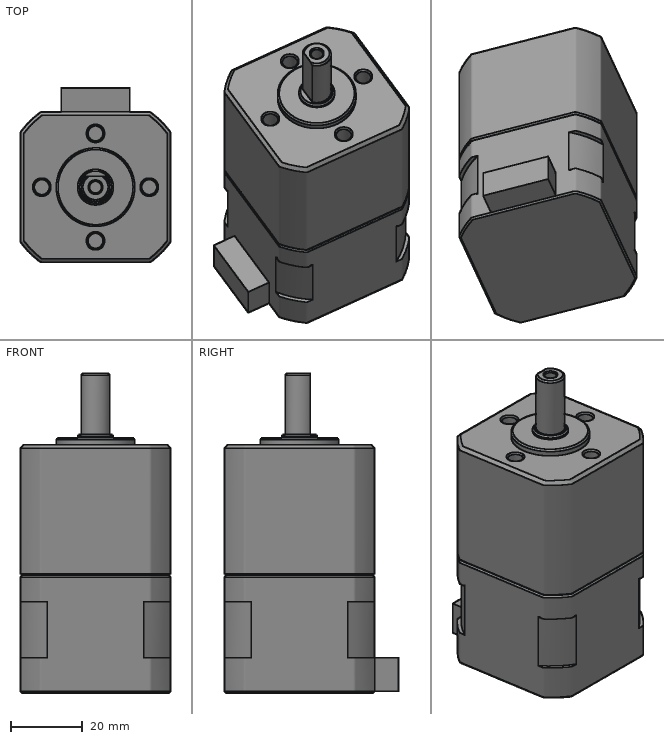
import cadquery as cq

FLANGE_WIDTH = 42.0
CAP_CORNER_RADIUS = 26.0
STATOR_CORNER_RADIUS = 24.9
EDGE_FILLET = 1.1
SMALL_CHAMFER = 0.5

REAR_CAP_TOP = 9.9
STATOR_TOP = 25.5
MOTOR_TOP = 32.9
GEARBOX_TOP = 69.4
PILOT_TOP = 71.3
COLLAR_TOP = 72.2
SHAFT_TOP = 89.3

CONNECTOR_WIDTH = 19.2
CONNECTOR_REACH = 6.7

FACE_CHAMFER = 1.0
PILOT_DIAMETER = 22.0
MOUNT_HOLE_DIAMETER = 4.2
MOUNT_HOLE_DEPTH = 10.0
MOUNT_HOLE_CHAMFER = 0.45
MOUNT_CIRCLE_RADIUS = 15.0
MOUNT_HOLE_COUNT = 4

SHAFT_DIAMETER = 8.0
COLLAR_DIAMETER = 10.0
FLAT_OFFSET = 3.0
CENTRE_HOLE_DIAMETER = 3.3
CENTRE_HOLE_DEPTH = 10.0
CENTRE_HOLE_CHAMFER = 0.4


def turned_square(bottom, top, corner_radius):
    """Square block whose four corners are turned down to a radius about the axis."""
    height = top - bottom
    square = cq.Workplane("XY").workplane(offset=bottom).rect(FLANGE_WIDTH, FLANGE_WIDTH).extrude(height)
    cylinder = cq.Workplane("XY").workplane(offset=bottom).circle(corner_radius).extrude(height)
    return square.intersect(cylinder)


def cap_block(bottom, top):
    """Turned square with the edges between its flats and corners rounded."""
    return turned_square(bottom, top, CAP_CORNER_RADIUS).edges("|Z").fillet(EDGE_FILLET)


def chamfered_hole(diameter, depth, chamfer, top):
    """Cutter for a blind hole from the given height, with a chamfered mouth."""
    radius = diameter / 2
    return (
        cq.Workplane("XZ")
        .moveTo(0, top)
        .lineTo(radius + chamfer, top)
        .lineTo(radius, top - chamfer)
        .lineTo(radius, top - depth)
        .lineTo(0, top - depth)
        .close()
        .revolve(360, (0, 0, 0), (0, 1, 0))
    )


def make_motor():
    """Stepper motor: rear cap with connector, stator stack and front cap."""
    rear_cap = cap_block(0, REAR_CAP_TOP).faces("<Z").chamfer(SMALL_CHAMFER)
    stator = turned_square(REAR_CAP_TOP, STATOR_TOP, STATOR_CORNER_RADIUS)
    front_cap = cap_block(STATOR_TOP, MOTOR_TOP).faces(">Z").chamfer(SMALL_CHAMFER)
    connector = (
        cq.Workplane("XY")
        .workplane(offset=SMALL_CHAMFER)
        .rect(CONNECTOR_WIDTH, CONNECTOR_REACH)
        .extrude(REAR_CAP_TOP - SMALL_CHAMFER)
        .translate((0, (FLANGE_WIDTH + CONNECTOR_REACH) / 2, 0))
    )
    return rear_cap.union(stator).union(front_cap).union(connector)


def make_gearbox():
    """Gearbox housing with a centring pilot and a ring of mounting holes."""
    housing = (
        cap_block(MOTOR_TOP, GEARBOX_TOP)
        .faces(">Z")
        .chamfer(FACE_CHAMFER)
        .faces("<Z")
        .chamfer(SMALL_CHAMFER)
    )
    pilot = (
        cq.Workplane("XY")
        .workplane(offset=GEARBOX_TOP)
        .circle(PILOT_DIAMETER / 2)
        .extrude(PILOT_TOP - GEARBOX_TOP)
        .faces(">Z")
        .chamfer(SMALL_CHAMFER)
    )
    gearbox = housing.union(pilot)
    first_hole = chamfered_hole(
        MOUNT_HOLE_DIAMETER, MOUNT_HOLE_DEPTH, MOUNT_HOLE_CHAMFER, GEARBOX_TOP
    ).translate((MOUNT_CIRCLE_RADIUS, 0, 0))
    for index in range(MOUNT_HOLE_COUNT):
        angle = index * 360 / MOUNT_HOLE_COUNT
        gearbox = gearbox.cut(first_hole.rotate((0, 0, 0), (0, 0, 1), angle))
    return gearbox


def make_shaft():
    """D-cut output shaft with a collar that rests on the pilot."""
    collar = (
        cq.Workplane("XY")
        .workplane(offset=PILOT_TOP)
        .circle(COLLAR_DIAMETER / 2)
        .extrude(COLLAR_TOP - PILOT_TOP)
        .faces(">Z")
        .chamfer(SMALL_CHAMFER)
    )
    journal_length = SHAFT_TOP - COLLAR_TOP
    journal = (
        cq.Workplane("XY")
        .workplane(offset=COLLAR_TOP)
        .circle(SHAFT_DIAMETER / 2)
        .extrude(journal_length)
        .faces(">Z")
        .chamfer(SMALL_CHAMFER)
    )
    flat_cutter = (
        cq.Workplane("XY")
        .workplane(offset=COLLAR_TOP)
        .rect(SHAFT_DIAMETER, SHAFT_DIAMETER)
        .extrude(journal_length)
        .translate((0, FLAT_OFFSET + SHAFT_DIAMETER / 2, 0))
    )
    centre_hole = chamfered_hole(CENTRE_HOLE_DIAMETER, CENTRE_HOLE_DEPTH, CENTRE_HOLE_CHAMFER, SHAFT_TOP)
    return collar.union(journal.cut(flat_cutter)).cut(centre_hole)


motor = make_motor()
gearbox = make_gearbox()
shaft = make_shaft()

result = cq.Compound.makeCompound([motor.val(), gearbox.val(), shaft.val()])